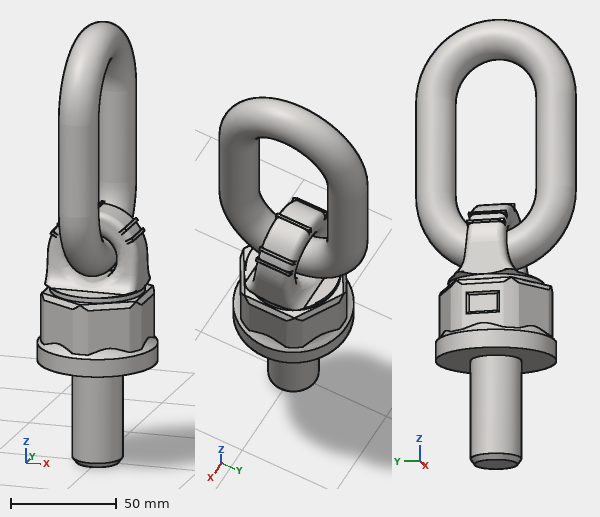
import cadquery as cq
import math


link_half_width = 38.7
wire_radius = 9.5
link_top = 165.0
link_straight = 45.0

shank_radius = 12.0
shank_length = 50.2
shank_tip_radius = 10.1
shank_tip_height = 2.5

flange_radius = 57.0 / 2
flange_height = 8.6

hex_sides = 6
hex_apothem = 25.0
hex_corner_radius = 27.0
hex_top = 34.7
hex_chamfer_width = 1.7
hex_chamfer_height = 2.5
hex_side_fillet = 1.3

skirt_cone_height = 2.0
skirt_top = 13.3
skirt_top_radius = 24.8

panel_width = 16.0
panel_height = 10.3
panel_center_z = 22.8
panel_depth = 1.0
panel_taper = 45.0

eye_radius = 45.0 / 2
eye_center_z = 52.7
disc_top = 37.0
eye_half_thickness = 9.0
taper_top_z = 62.2
neck_half_thickness = 10.3
neck_z = 46.0
neck_foot = (15.7, 38.0)
eye_edge_fillet = 3.0
hole_radius = 11.0
hole_center_z = 51.9
hole_fillet = 6.0
selection_margin = 0.2
trim_top_radius = 25.8
trim_top_z = 39.2

rib_width = 1.5
rib_height = 0.32
rib_inner_radius = 19.0
rib_angles = (28.0, 43.0, 90.0, 137.0, 152.0)


def make_link():
    """Oblong link of round wire, standing in the YZ plane."""
    axis_radius = link_half_width - wire_radius
    upper_z = link_top - link_half_width
    lower_z = upper_z - link_straight
    path = (
        cq.Workplane("YZ")
        .moveTo(axis_radius, lower_z)
        .lineTo(axis_radius, upper_z)
        .threePointArc((0, upper_z + axis_radius), (-axis_radius, upper_z))
        .lineTo(-axis_radius, lower_z)
        .threePointArc((0, lower_z - axis_radius), (axis_radius, lower_z))
        .close()
    )
    wire_section = cq.Workplane("XY", origin=(0, axis_radius, lower_z)).circle(wire_radius)
    return wire_section.sweep(path)


def make_hex_head():
    """Hexagon with flats on +-X, corners turned round and top edges chamfered."""
    half_side_angle = 180 / hex_sides
    circumscribed = 2 * hex_apothem / math.cos(math.radians(half_side_angle))
    hexagon = (
        cq.Workplane("XY")
        .polygon(hex_sides, circumscribed)
        .extrude(hex_top)
        .rotate((0, 0, 0), (0, 0, 1), half_side_angle)
    )
    chamfered = hexagon.faces(">Z").chamfer(hex_chamfer_height, hex_chamfer_width)
    turned = hexagon.intersect(cq.Workplane("XY").circle(hex_corner_radius).extrude(hex_top))
    return turned.edges("|Z").fillet(hex_side_fillet).intersect(chamfered)


def make_turned_body():
    """Shank with tapered tip, flange and flared skirt, turned about Z."""
    cone_top = flange_height + skirt_cone_height
    cone_top_radius = flange_radius - skirt_cone_height
    return (
        cq.Workplane("XZ")
        .moveTo(0, -shank_length)
        .lineTo(shank_tip_radius, -shank_length)
        .lineTo(shank_radius, shank_tip_height - shank_length)
        .lineTo(shank_radius, 0)
        .lineTo(flange_radius, 0)
        .lineTo(flange_radius, flange_height)
        .lineTo(cone_top_radius, cone_top)
        .tangentArcPoint((skirt_top_radius, skirt_top), relative=False)
        .lineTo(0, skirt_top)
        .close()
        .revolve(360, (0, 0, 0), (0, 1, 0))
    )


def make_bolt():
    """Hexagon-head bolt with flange and a shallow panel in its -X flat."""
    panel = (
        cq.Workplane("YZ", origin=(-hex_apothem, 0, panel_center_z))
        .rect(panel_width, panel_height)
        .extrude(panel_depth, taper=panel_taper)
    )
    return make_hex_head().union(make_turned_body()).cut(panel)


def make_sharp_lug(crown_growth=0.0):
    """Flared lug with an arched top and sharp edges, its arch grown outwards on request."""
    half_width = eye_radius + crown_growth
    eye_top = eye_center_z + half_width
    arch = (
        cq.Workplane("XZ")
        .moveTo(-half_width, hex_top)
        .lineTo(half_width, hex_top)
        .lineTo(half_width, eye_center_z)
        .threePointArc((0, eye_top), (-half_width, eye_center_z))
        .close()
        .extrude(eye_radius, both=True)
    )
    half_flare = (
        cq.Workplane("YZ")
        .moveTo(0, eye_top)
        .lineTo(eye_half_thickness, eye_top)
        .lineTo(eye_half_thickness, taper_top_z)
        .tangentArcPoint((neck_half_thickness, neck_z), relative=False)
        .tangentArcPoint(neck_foot, relative=False)
        .lineTo(eye_radius, disc_top)
        .lineTo(eye_radius, hex_top)
        .lineTo(0, hex_top)
        .close()
        .extrude(half_width, both=True)
    )
    return half_flare.union(half_flare.mirror("XZ")).intersect(arch)


def make_rounded_lug():
    """Lug with the fillet that runs over the arch and down both sides."""
    lug = make_sharp_lug()
    arch_edges = lug.edges("%CIRCLE").edges(cq.selectors.BoxSelector(
        (-eye_radius, -eye_radius, taper_top_z),
        (eye_radius, eye_radius, eye_center_z + 2 * eye_radius),
    ))
    return arch_edges.fillet(eye_edge_fillet)


def make_disc_trim():
    """Round envelope that trims the lug's foot to the disc."""
    return (
        cq.Workplane("XZ")
        .moveTo(0, hex_top)
        .lineTo(eye_radius, hex_top)
        .lineTo(eye_radius, disc_top)
        .lineTo(trim_top_radius, trim_top_z)
        .lineTo(trim_top_radius, eye_center_z + eye_radius)
        .lineTo(0, eye_center_z + eye_radius)
        .close()
        .revolve(360, (0, 0, 0), (0, 1, 0))
    )


def make_ribs():
    """Narrow sharp-edged ribs that cross the rounded top of the eye."""
    crown = make_sharp_lug(rib_height)
    rib_reach = 2 * (eye_radius - rib_inner_radius)
    slab = (
        cq.Workplane("XY")
        .box(rib_reach, 2 * eye_radius, rib_width)
        .translate((eye_radius, 0, 0))
    )
    ribs = []
    for angle in rib_angles:
        placed = slab.rotate((0, 0, 0), (0, 1, 0), -angle).translate((0, 0, eye_center_z))
        ribs.append(placed.intersect(crown))
    return ribs


def make_eye():
    """Swivel eye: lug on a disc, with a rounded hole across it and ribs on top."""
    hole = (
        cq.Workplane("XZ", origin=(0, 0, hole_center_z))
        .circle(hole_radius)
        .extrude(eye_radius, both=True)
    )
    reach = hole_radius + selection_margin
    hole_box = cq.selectors.BoxSelector(
        (-reach, -eye_radius, hole_center_z - reach),
        (reach, eye_radius, hole_center_z + reach),
        boundingbox=True,
    )
    eye = make_rounded_lug().intersect(make_disc_trim()).cut(hole)
    eye = eye.edges(hole_box).edges("not |Y").fillet(hole_fillet)
    for rib in make_ribs():
        eye = eye.union(rib)
    return eye


link = make_link()
eye = make_eye()
bolt = make_bolt()
result = cq.Compound.makeCompound([link.val(), *eye.solids().vals(), bolt.val()])